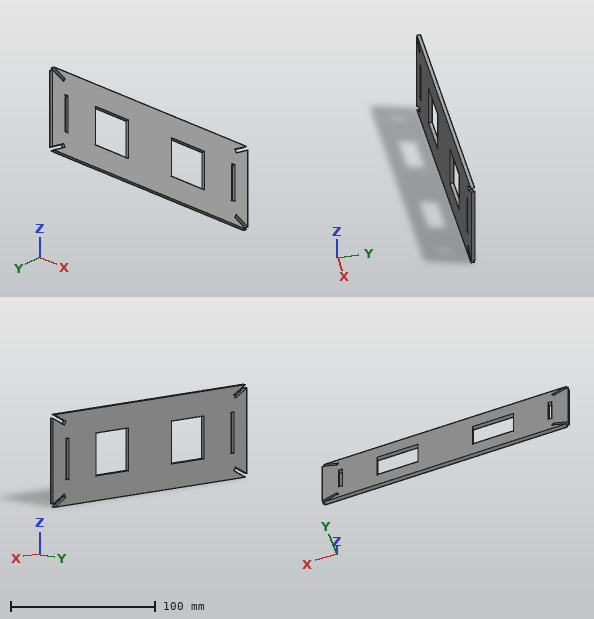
import cadquery as cq

length = 180.0
height = 65.0
thickness = 2.7

window_side = 30.0
window_spacing = 70.0

slot_width = thickness
slot_height = 28.8
slot_edge_offset = 13.3

notch_width = thickness
notch_angle = 29.0
notch_end_inset_x = 11.2
notch_end_inset_z = 7.0
notch_run = 18.0

cut_depth = 2 * thickness


def box_cutters(width, tall, spacing):
    """A pair of rectangular through cutters, mirrored about the plate centre."""
    return cq.Workplane("XZ").rarray(spacing, 1.8, 2, 1).rect(width, tall).extrude(cut_depth / 2, both=True)


def corner_notch(side_x, side_z):
    """Through cutter for the notch in the corner given by the signs of X and Z."""
    end_x = side_x * (length / 2 - notch_end_inset_x)
    end_z = side_z * (height / 2 - notch_end_inset_z)
    cutter = (
        cq.Workplane("XZ")
        .center(side_x * notch_run / 2, 0)
        .rect(notch_run, notch_width)
        .extrude(cut_depth / 2, both=True)
    )
    tilt = -side_x * side_z * notch_angle
    return cutter.rotate((0, 0, 0), (0, 1, 0), tilt).translate((end_x, 0, end_z))


result = cq.Workplane("XY").box(length, thickness, height)
result = result.cut(box_cutters(window_side, window_side, window_spacing))
result = result.cut(box_cutters(slot_width, slot_height, length - 2 * slot_edge_offset))
for side_x in (-1, 1):
    for side_z in (-1, 1):
        result = result.cut(corner_notch(side_x, side_z))